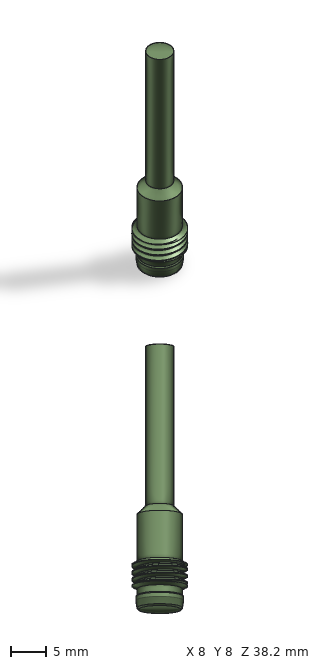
import cadquery as cq
import math

LENGTH = 38.2
ROD_DIAMETER = 4.0
BODY_DIAMETER = 6.5
THREAD_DIAMETER = 8.0
THREAD_ROOT_DIAMETER = 6.85
RING_DIAMETER = 6.85

BODY_TOP = 13.8
THREAD_TOP = 6.95
THREAD_BOTTOM = 2.98
RING_TOP = 2.02
RING_EDGE = 1.85
RING_TAPER_START = 1.25
BOTTOM_CHAMFER = 0.23

THREAD_PITCH = 1.0
ROOT_FLAT = 0.21
FLANK_ANGLE = 30.0
GROOVE_START = 2.2
GROOVE_TURNS = 5
GROOVE_OVERCUT = 0.05

CROSS_HOLE_DIAMETER = 1.5
CROSS_HOLE_HEIGHT = 20.45

rod_radius = ROD_DIAMETER / 2
body_radius = BODY_DIAMETER / 2
thread_radius = THREAD_DIAMETER / 2
root_radius = THREAD_ROOT_DIAMETER / 2
ring_radius = RING_DIAMETER / 2
flank_slope = math.tan(math.radians(FLANK_ANGLE))
end_cone_height = (thread_radius - body_radius) * flank_slope
crest_bottom = THREAD_BOTTOM + end_cone_height
crest_top = THREAD_TOP - end_cone_height
shoulder_top = BODY_TOP + body_radius - rod_radius


def turned_body():
    """Stepped solid of revolution with an uncut collar for the thread."""
    outline = [
        (0, 0),
        (body_radius - BOTTOM_CHAMFER, 0),
        (body_radius, BOTTOM_CHAMFER),
        (ring_radius, RING_TAPER_START),
        (ring_radius, RING_EDGE),
        (body_radius, RING_TOP),
        (body_radius, THREAD_BOTTOM),
        (thread_radius, crest_bottom),
        (thread_radius, crest_top),
        (body_radius, THREAD_TOP),
        (body_radius, BODY_TOP),
        (rod_radius, shoulder_top),
        (rod_radius, LENGTH),
        (0, LENGTH),
    ]
    return cq.Workplane("XZ").polyline(outline).close().revolve(360, (0, 0), (0, 1))


def thread_groove():
    """Right-hand helical V groove, limited to the length between the end cones."""
    outer_radius = thread_radius + GROOVE_OVERCUT
    root_half = ROOT_FLAT / 2
    outer_half = root_half + (outer_radius - root_radius) * flank_slope
    helix = cq.Wire.makeHelix(
        THREAD_PITCH, GROOVE_TURNS * THREAD_PITCH, root_radius, cq.Vector(0, 0, GROOVE_START)
    )
    groove = (
        cq.Workplane("XZ")
        .polyline([
            (root_radius, GROOVE_START - root_half),
            (outer_radius, GROOVE_START - outer_half),
            (outer_radius, GROOVE_START + outer_half),
            (root_radius, GROOVE_START + root_half),
        ])
        .close()
        .sweep(cq.Workplane(helix), isFrenet=True)
    )
    threaded_length = (
        cq.Workplane("XY")
        .workplane(offset=crest_bottom)
        .circle(THREAD_DIAMETER)
        .extrude(crest_top - crest_bottom)
    )
    return groove.intersect(threaded_length)


def cross_hole():
    """Round hole from the +Y side of the rod to its axis."""
    return (
        cq.Workplane("XZ", origin=(0, 0, CROSS_HOLE_HEIGHT))
        .circle(CROSS_HOLE_DIAMETER / 2)
        .extrude(-ROD_DIAMETER)
    )


result = turned_body().cut(thread_groove()).cut(cross_hole())